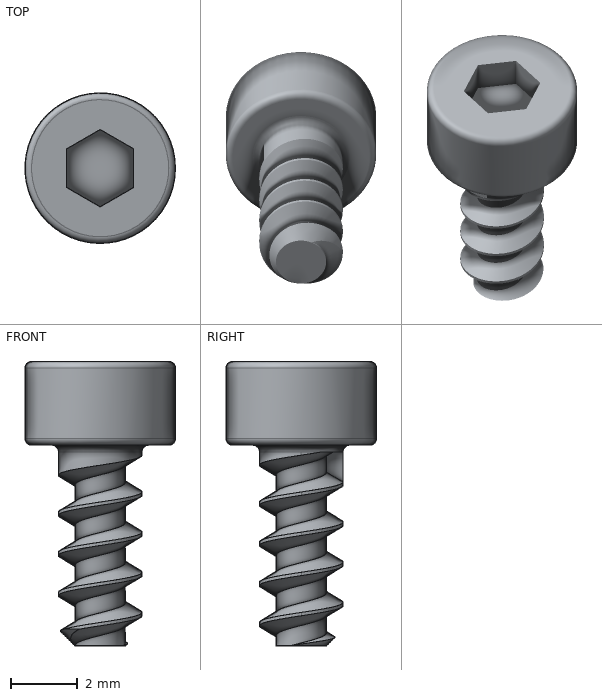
import cadquery as cq
import math


head_diameter = 4.5
head_height = 2.5
head_edge_radius = 0.2

socket_across_flats = 2.0
socket_depth = 1.0

shank_length = 6.0
thread_diameter = 2.5
core_diameter = 1.5
neck_fillet_radius = 0.2

pitch = 1.2
crest_width = 0.1
flank_angle = 30.0
groove_start_depth = 0.55
groove_turns = 5
groove_overshoot = 0.05

head_radius = head_diameter / 2
thread_radius = thread_diameter / 2
core_radius = core_diameter / 2
tip_chamfer = thread_radius - core_radius


def make_head():
    head = cq.Workplane("XY").circle(head_radius).extrude(head_height)
    return head.edges().fillet(head_edge_radius)


def make_shank_blank():
    """Full-diameter cylinder with a conical tip."""
    return (
        cq.Workplane("XY", origin=(0, 0, -shank_length))
        .circle(thread_radius)
        .extrude(shank_length)
        .faces("<Z")
        .chamfer(tip_chamfer)
    )


def make_neck():
    """Solid collar with a concave fillet between the shank and the head."""
    fillet_rim_radius = thread_radius + neck_fillet_radius
    fillet_middle_offset = neck_fillet_radius * math.sqrt(0.5)
    fillet_middle = (
        fillet_rim_radius - fillet_middle_offset,
        fillet_middle_offset - neck_fillet_radius,
    )
    return (
        cq.Workplane("YZ")
        .moveTo(0, -neck_fillet_radius)
        .lineTo(thread_radius, -neck_fillet_radius)
        .threePointArc(fillet_middle, (fillet_rim_radius, 0))
        .lineTo(0, 0)
        .close()
        .revolve(360, (0, 0), (0, 1))
    )


def make_thread_groove():
    """Trapezoidal right-hand helical groove that leaves the thread standing."""
    flank_slope = math.tan(math.radians(flank_angle))
    outer_radius = thread_radius + groove_overshoot
    half_width_at_crest = (pitch - crest_width) / 2
    half_width_outside = half_width_at_crest + groove_overshoot * flank_slope
    half_width_at_root = half_width_at_crest - (thread_radius - core_radius) * flank_slope

    groove_length = groove_turns * pitch
    bottom_z = -groove_start_depth - groove_length
    helix = cq.Wire.makeHelix(pitch, groove_length, core_radius, center=cq.Vector(0, 0, bottom_z))
    profile = cq.Workplane("XZ").polyline([
        (core_radius, bottom_z - half_width_at_root),
        (outer_radius, bottom_z - half_width_outside),
        (outer_radius, bottom_z + half_width_outside),
        (core_radius, bottom_z + half_width_at_root),
    ]).close()
    groove = profile.sweep(cq.Workplane(obj=helix), isFrenet=True)
    return groove.rotate((0, 0, 0), (0, 0, 1), 90)


def make_socket():
    """Hexagonal pocket with flats facing +X and -X."""
    socket_across_corners = socket_across_flats / math.cos(math.pi / 6)
    return (
        cq.Workplane("XY", origin=(0, 0, head_height))
        .transformed(rotate=(0, 0, 90))
        .polygon(6, socket_across_corners)
        .extrude(-socket_depth)
    )


threaded_shank = make_shank_blank().cut(make_thread_groove())
result = make_head().cut(make_socket()).union(make_neck()).union(threaded_shank)